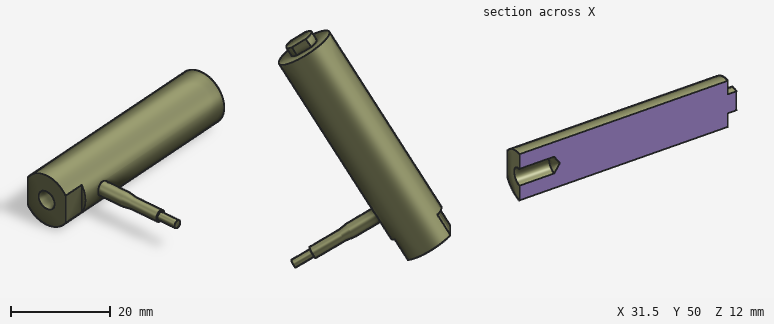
import cadquery as cq
import math

body_diameter = 12
body_length = 48
flat_width = 10
flat_length = 5

stud_diameter = 6
stud_length = 2
stud_flat_height = 5

hole_diameter = 4.2
hole_depth = 8
drill_point_angle = 118

cable_y = 10.5
sleeve_diameter = 3.2
sleeve_end = 12
taper_end = 14
sheath_diameter = 2.6
sheath_end = 21
core_diameter = 1.8
core_end = 25.5


def cylinder_along_y(diameter, start, length):
    return cq.Workplane("XZ", origin=(0, start, 0)).circle(diameter / 2).extrude(-length)


def make_body():
    body = cylinder_along_y(body_diameter, 0, body_length)
    flatted_end = cq.Workplane("XY").box(
        flat_width, flat_length, body_diameter, centered=(True, False, True)
    )
    full_round = cylinder_along_y(body_diameter, flat_length, body_length - flat_length)
    return body.intersect(flatted_end).union(full_round)


def make_stud():
    stud = cylinder_along_y(stud_diameter, body_length, stud_length)
    across_flats = cq.Workplane("XY", origin=(0, body_length, 0)).box(
        stud_diameter, stud_length, stud_flat_height, centered=(True, False, True)
    )
    return stud.intersect(across_flats)


def make_hole():
    radius = hole_diameter / 2
    point_length = radius / math.tan(math.radians(drill_point_angle / 2))
    profile = (
        cq.Workplane("XY")
        .polyline([(0, 0), (radius, 0), (radius, hole_depth), (0, hole_depth + point_length)])
        .close()
    )
    return profile.revolve(360, (0, 0, 0), (0, 1, 0))


def make_cable():
    profile = (
        cq.Workplane("XY", origin=(0, cable_y, 0))
        .moveTo(flat_width / 2, 0)
        .lineTo(flat_width / 2, sleeve_diameter / 2)
        .lineTo(sleeve_end, sleeve_diameter / 2)
        .lineTo(taper_end, sheath_diameter / 2)
        .lineTo(sheath_end, sheath_diameter / 2)
        .lineTo(sheath_end, core_diameter / 2)
        .lineTo(core_end, core_diameter / 2)
        .lineTo(core_end, 0)
        .close()
    )
    return profile.revolve(360, (0, 0, 0), (1, 0, 0))


result = make_body().union(make_stud()).cut(make_hole()).union(make_cable())